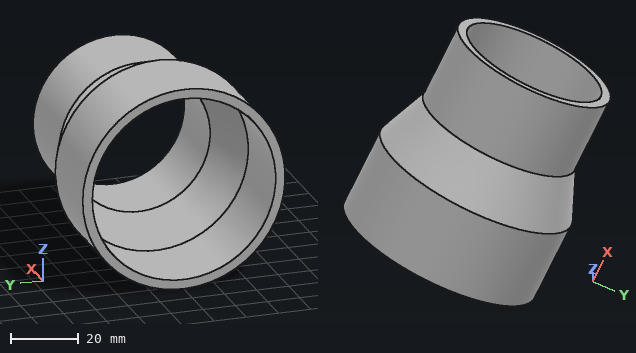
import cadquery as cq

total_length = 65.0
large_length = 25.2
small_length = 24.0
large_outer_diameter = 63.0
small_outer_diameter = 50.0
wall = 3.0

taper_start = large_length
taper_end = total_length - small_length


def stepped_body(large_diameter, small_diameter):
    """Solid with a large cylinder, a conical taper and a small cylinder along +X."""
    large_radius = large_diameter / 2
    small_radius = small_diameter / 2
    return (
        cq.Workplane("XY")
        .polyline([
            (0, 0),
            (0, large_radius),
            (taper_start, large_radius),
            (taper_end, small_radius),
            (total_length, small_radius),
            (total_length, 0),
        ])
        .close()
        .revolve(360, (0, 0, 0), (1, 0, 0))
    )


outer_body = stepped_body(large_outer_diameter, small_outer_diameter)

bore = stepped_body(large_outer_diameter - 2 * wall, small_outer_diameter - 2 * wall)

result = outer_body.cut(bore)